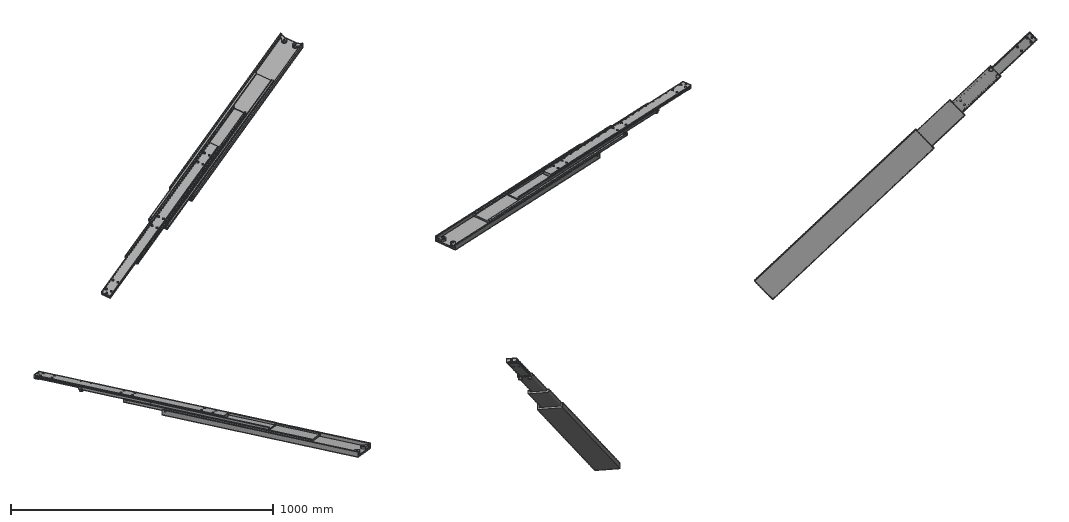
import cadquery as cq


OUTER_WIDTH = 100.0
OUTER_HEIGHT = 21.0
OUTER_WALL = 5.0
OUTER_FLOOR = 7.0
OUTER_FRONT = 572.0
OUTER_REAR = 1423.0

LUG_X = 24.0
LUG_INSET = 17.0
LUG_RADIUS = 10.0
LUG_HOLE_DIAMETER = 7.0
LUG_TOP = 15.0
LUG_ROOT_WIDTH = 9.0
LUG_REAR_GAP = 1.0

RAIL_EDGE_RADIUS = 4.0

WIDE_WIDTH = 83.0
WIDE_BOTTOM = 13.0
WIDE_TOP = 25.0
WIDE_WALL = 9.0
WIDE_FLOOR = 7.0
WIDE_FRONT = 400.0
WIDE_LENGTH = 811.0

NARROW_WIDTH = 57.0
NARROW_BOTTOM = WIDE_BOTTOM + WIDE_FLOOR
NARROW_TOP = 33.0
NARROW_WALL = 5.0
NARROW_FLOOR = 4.0
NARROW_FRONT = 198.0
NARROW_LENGTH = 825.0

STOP_DIAMETER = 14.0
STOP_X = 18.0
STOP_BOTTOM = WIDE_BOTTOM

BAR_WIDTH = 40.0
BAR_BOTTOM = NARROW_BOTTOM + NARROW_FLOOR
BAR_TOP = 37.0
BAR_LENGTH = 825.0
GROOVE_HEIGHT = 4.0
GROOVE_DEPTH = 3.0
GROOVE_START = 7.0

FOOT_LENGTH = 17.0
FOOT_INSET = 1.0
FOOT_BOTTOM = 21.0
END_HOLE_DIAMETER = 5.0
END_HOLE_Y = 7.0

MOUNT_DIAMETER = 7.0
MOUNT_X = 10.7
MOUNT_FIRST_Y = 23.0
MOUNT_ROW_PITCH = 50.0
MOUNT_GROUP_PITCH = 350.0
MOUNT_ROWS_PER_GROUP = 2
MOUNT_GROUPS = 3

CROSS_HOLE_INSET = 13.0
OUTER_HOLE_DIAMETER = 5.0
OUTER_HOLE_Z = 17.0
WIDE_HOLE_DIAMETER = 3.0
WIDE_HOLE_Z = (WIDE_BOTTOM + WIDE_FLOOR + WIDE_TOP) / 2
NARROW_HOLE_DIAMETER = 4.0
NARROW_HOLE_Z = (NARROW_BOTTOM + NARROW_FLOOR + NARROW_TOP) / 2


def block(width, y_front, y_rear, z_bottom, z_top):
    """Box centred on X = 0."""
    return cq.Workplane("XY").box(
        width, y_rear - y_front, z_top - z_bottom, centered=(True, False, False)
    ).translate((0, y_front, z_bottom))


def channel(width, y_front, y_rear, z_bottom, z_top, wall, floor):
    """Channel along Y, open at the top and at both ends."""
    body = block(width, y_front, y_rear, z_bottom, z_top)
    return body.cut(block(width - 2 * wall, y_front, y_rear, z_bottom + floor, z_top))


def cross_hole(y, z, diameter):
    """Drill along X through both side walls."""
    return cq.Workplane("YZ").center(y, z).circle(diameter / 2).extrude(OUTER_WIDTH, both=True)


def corner_lug(side):
    """Drilled round lug joined by a straight web to a rear corner of the outer channel."""
    lug_y = OUTER_REAR - LUG_INSET
    corner_x = OUTER_WIDTH / 2 - OUTER_WALL
    web_rear = OUTER_REAR - LUG_REAR_GAP
    height = LUG_TOP - OUTER_FLOOR
    plane = cq.Workplane("XY").workplane(offset=OUTER_FLOOR)
    web = plane.polyline([
        (side * corner_x, web_rear),
        (side * corner_x, web_rear - LUG_ROOT_WIDTH),
        (side * LUG_X, lug_y - LUG_RADIUS),
        (side * LUG_X, lug_y + LUG_RADIUS),
        (side * (corner_x - LUG_ROOT_WIDTH), web_rear),
    ]).close().extrude(height)
    lug = web.union(plane.center(side * LUG_X, lug_y).circle(LUG_RADIUS).extrude(height))
    return lug.cut(plane.center(side * LUG_X, lug_y).circle(LUG_HOLE_DIAMETER / 2).extrude(height))


def make_outer_channel():
    body = channel(OUTER_WIDTH, OUTER_FRONT, OUTER_REAR, 0, OUTER_HEIGHT, OUTER_WALL, OUTER_FLOOR)
    for side in (-1, 1):
        body = body.union(corner_lug(side))
    return body.cut(cross_hole(OUTER_FRONT + CROSS_HOLE_INSET, OUTER_HOLE_Z, OUTER_HOLE_DIAMETER))


def make_wide_rail():
    body = channel(WIDE_WIDTH, WIDE_FRONT, WIDE_FRONT + WIDE_LENGTH,
                   WIDE_BOTTOM, WIDE_TOP, WIDE_WALL, WIDE_FLOOR)
    body = body.edges("|Y and <Z").fillet(RAIL_EDGE_RADIUS)
    return body.cut(cross_hole(WIDE_FRONT + CROSS_HOLE_INSET, WIDE_HOLE_Z, WIDE_HOLE_DIAMETER))


def make_narrow_rail():
    body = channel(NARROW_WIDTH, NARROW_FRONT, NARROW_FRONT + NARROW_LENGTH,
                   NARROW_BOTTOM, NARROW_TOP, NARROW_WALL, NARROW_FLOOR)
    body = body.edges("|Y and <Z").fillet(RAIL_EDGE_RADIUS)
    stop_y = NARROW_FRONT + STOP_DIAMETER / 2
    stops = (cq.Workplane("XY").workplane(offset=STOP_BOTTOM)
             .pushPoints([(-STOP_X, stop_y), (STOP_X, stop_y)])
             .circle(STOP_DIAMETER / 2).extrude(NARROW_BOTTOM + NARROW_FLOOR - STOP_BOTTOM))
    body = body.union(stops)
    return body.cut(cross_hole(NARROW_FRONT + CROSS_HOLE_INSET, NARROW_HOLE_Z, NARROW_HOLE_DIAMETER))


def make_inner_bar():
    body = block(BAR_WIDTH, 0, BAR_LENGTH, BAR_BOTTOM, BAR_TOP)
    groove_bottom = (BAR_BOTTOM + BAR_TOP - GROOVE_HEIGHT) / 2
    for side in (-1, 1):
        groove = block(2 * GROOVE_DEPTH, GROOVE_START, BAR_LENGTH,
                       groove_bottom, groove_bottom + GROOVE_HEIGHT)
        body = body.cut(groove.translate((side * BAR_WIDTH / 2, 0, 0)))
    foot = block(BAR_WIDTH - 2 * FOOT_INSET, FOOT_INSET, FOOT_INSET + FOOT_LENGTH,
                 FOOT_BOTTOM, BAR_BOTTOM)
    body = body.union(foot)
    end_radius = END_HOLE_DIAMETER / 2
    upright_hole = (cq.Workplane("XY").workplane(offset=FOOT_BOTTOM)
                    .center(0, END_HOLE_Y).circle(end_radius).extrude(BAR_TOP - FOOT_BOTTOM))
    end_hole = (cq.Workplane("XZ").center(0, (BAR_BOTTOM + BAR_TOP) / 2)
                .circle(end_radius).extrude(-END_HOLE_Y))
    body = body.cut(upright_hole).cut(end_hole)
    rows = [MOUNT_FIRST_Y + group * MOUNT_GROUP_PITCH + row * MOUNT_ROW_PITCH
            for group in range(MOUNT_GROUPS) for row in range(MOUNT_ROWS_PER_GROUP)]
    points = [(side * MOUNT_X, y) for y in rows for side in (-1, 1)]
    holes = (cq.Workplane("XY").workplane(offset=BAR_BOTTOM)
             .pushPoints(points).circle(MOUNT_DIAMETER / 2).extrude(BAR_TOP - BAR_BOTTOM))
    return body.cut(holes)


outer_channel = make_outer_channel()
wide_rail = make_wide_rail()
narrow_rail = make_narrow_rail()
inner_bar = make_inner_bar()

result = cq.Compound.makeCompound(
    [outer_channel.val(), wide_rail.val(), narrow_rail.val(), inner_bar.val()]
)